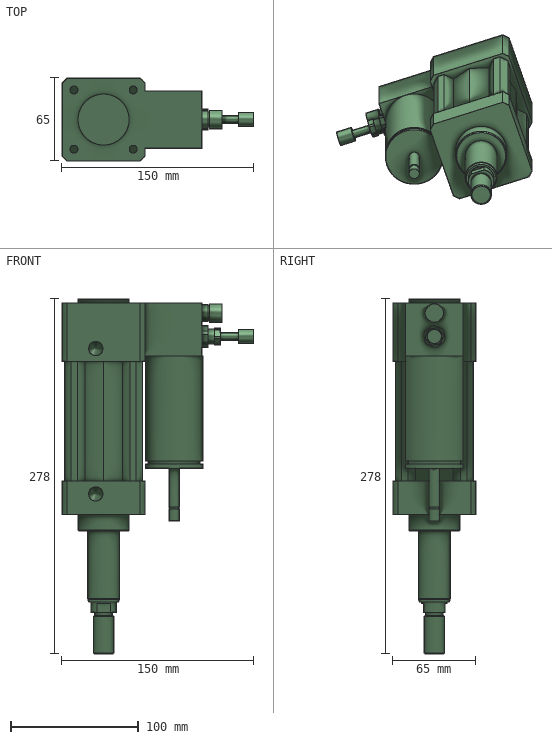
import cadquery as cq
import math

TOTAL_LENGTH = 278.0
TOTAL_WIDTH = 150.0

BLOCK_SIDE = 65.0
BLOCK_CHAMFER = 4.0
HEAD_HEIGHT = 46.0
FOOT_HEIGHT = 26.0
SCREW_PITCH = 46.5
SCREW_DIAMETER = 6.0
SCREW_DEPTH = 14.0
PORT_DIAMETER = 11.0
PORT_OFFSET = -6.0
PORT_DEPTH = 11.0
DRILL_POINT_ANGLE = 118.0
HEAD_PORT_DROP = 36.0
FOOT_PORT_DROP = 10.0

TUBE_LENGTH = 94.0
TUBE_HALF_WIDTH = 30.5
POST_OUTER = 25.5
POST_INNER = 20.5
VALLEY_OFFSET = 14.7
RIDGE_RADIUS = 29.0

BOSS_DIAMETER = 40.0
CAP_HEIGHT = 2.8
BOSS_HEIGHT = 13.0
BOSS_CHAMFER = 0.8

BOX_END = 77.0
BOX_HEIGHT = 41.7

MOTOR_DIAMETER = 45.0
MOTOR_X = 55.3
MOTOR_LENGTH = 82.3
MOTOR_GROOVE_DIAMETER = 41.0
MOTOR_GROOVE_WIDTH = 2.5
MOTOR_FLANGE_HEIGHT = 3.3
SHAFT_DIAMETER = 8.0
SHAFT_LENGTH = 30.3
SHAFT_TAPER_DIAMETER = 6.0
SHAFT_TAPER_LENGTH = 1.7
SHAFT_TIP_LENGTH = 9.2

KNOB_DROP = 8.0
KNOB_STEM_DIAMETER = 13.0
KNOB_STEM_LENGTH = 5.0
KNOB_NECK_DIAMETER = 12.0
KNOB_NECK_LENGTH = 0.8
KNOB_DIAMETER = 14.5
KNOB_LENGTH = 10.0

PLUNGER_DROP = 26.5
BIG_HEX_DIAMETER = 17.0
BIG_HEX_FLATS = 15.8
BIG_HEX_LENGTH = 5.0
BIG_HEX_TURN = 21.0
FITTING_STEM_DIAMETER = 12.0
FITTING_STEM_LENGTH = 5.0
SMALL_HEX_DIAMETER = 14.0
SMALL_HEX_FLATS = 12.8
SMALL_HEX_LENGTH = 4.5
SMALL_HEX_TURN = -7.0
PLUNGER_DIAMETER = 6.0
PLUNGER_LENGTH = 14.2
PLUNGER_KNOB_DIAMETER = 11.0

ROD_DIAMETER = 25.0
ROD_LENGTH = 55.5
ROD_TIP_DIAMETER = 24.7
ROD_TIP_LENGTH = 2.8
ROD_CHAMFER_HEIGHT = 2.0
ROD_CHAMFER_WIDTH = 0.8
COLLAR_DIAMETER = 20.0
COLLAR_FLATS = 17.0
COLLAR_LENGTH = 8.0
COLLAR_RIM = 1.0
NECK_DIAMETER = 14.0
NECK_LENGTH = 2.5
STUD_DIAMETER = 16.0
STUD_CHAMFER = 0.8

BLOCK_HALF = BLOCK_SIDE / 2
TUBE_TOP = -HEAD_HEIGHT
FOOT_TOP = TUBE_TOP - TUBE_LENGTH
FOOT_BOTTOM = FOOT_TOP - FOOT_HEIGHT
ROD_TOP = FOOT_BOTTOM - BOSS_HEIGHT
COLLAR_TOP = ROD_TOP - ROD_LENGTH
NECK_TOP = COLLAR_TOP - COLLAR_LENGTH
STUD_TOP = NECK_TOP - NECK_LENGTH
STUD_LENGTH = STUD_TOP - (CAP_HEIGHT - TOTAL_LENGTH)
GROOVE_TOP = -BOX_HEIGHT - MOTOR_LENGTH
FLANGE_TOP = GROOVE_TOP - MOTOR_GROOVE_WIDTH
SHAFT_TOP = FLANGE_TOP - MOTOR_FLANGE_HEIGHT
PLUNGER_KNOB_END = TOTAL_WIDTH - BLOCK_HALF


def disc_down(diameter, top, length, x=0.0):
    """Vertical cylinder hanging down from the given height."""
    return cq.Workplane("XY", origin=(x, 0, top)).circle(diameter / 2).extrude(-length)


def disc_along_x(diameter, start, length, z):
    """Cylinder running in +X from the given start."""
    return cq.Workplane("YZ", origin=(start, 0, z)).circle(diameter / 2).extrude(length)


def block(top, height):
    """Square block with chamfered upright corners."""
    body = cq.Workplane("XY", origin=(0, 0, top)).rect(BLOCK_SIDE, BLOCK_SIDE).extrude(-height)
    return body.edges("|Z").chamfer(BLOCK_CHAMFER)


def tube():
    """Four corner posts with a ridged V groove pair on every side."""
    side = [
        (-POST_OUTER, -TUBE_HALF_WIDTH),
        (-POST_INNER, -TUBE_HALF_WIDTH),
        (-VALLEY_OFFSET, -TUBE_HALF_WIDTH + POST_INNER - VALLEY_OFFSET),
        (0, -RIDGE_RADIUS),
        (VALLEY_OFFSET, -TUBE_HALF_WIDTH + POST_INNER - VALLEY_OFFSET),
        (POST_INNER, -TUBE_HALF_WIDTH),
        (POST_OUTER, -TUBE_HALF_WIDTH),
    ]
    outline = []
    for _ in range(4):
        outline += side
        side = [(-y, x) for x, y in side]
    return cq.Workplane("XY", origin=(0, 0, TUBE_TOP)).polyline(outline).close().extrude(-TUBE_LENGTH)


def side_box():
    """Box joining the head to the motor and the fittings."""
    return cq.Workplane("XY").box(
        BOX_END, MOTOR_DIAMETER, BOX_HEIGHT, centered=(False, True, False)
    ).translate((0, 0, -BOX_HEIGHT))


def port(z):
    """Drilled air port in the -Y face, with a conical bottom."""
    radius = PORT_DIAMETER / 2
    tip = PORT_DEPTH + radius / math.tan(math.radians(DRILL_POINT_ANGLE / 2))
    half_section = [(0, 0), (radius, 0), (radius, PORT_DEPTH), (0, tip)]
    drill = cq.Workplane("XY").polyline(half_section).close().revolve(360, (0, 0), (0, 1))
    return drill.translate((PORT_OFFSET, -BLOCK_HALF, z))


def screw_holes():
    """Four blind holes in the head top."""
    return (
        cq.Workplane("XY")
        .rect(SCREW_PITCH, SCREW_PITCH, forConstruction=True)
        .vertices()
        .circle(SCREW_DIAMETER / 2)
        .extrude(-SCREW_DEPTH)
    )


def hex_nut(diameter, flats, start, length, turn):
    """Hexagon along X with its corners rounded off by a cylinder."""
    corner_diameter = flats / math.cos(math.radians(30))
    prism = cq.Workplane("YZ").polygon(6, corner_diameter).extrude(length)
    prism = prism.rotate((0, 0, 0), (1, 0, 0), -turn).translate((start, 0, -PLUNGER_DROP))
    return prism.intersect(disc_along_x(diameter, start, length, -PLUNGER_DROP))


def knob():
    """Upper knob on its stem."""
    neck_start = BOX_END + KNOB_STEM_LENGTH
    knob_start = neck_start + KNOB_NECK_LENGTH
    body = disc_along_x(KNOB_STEM_DIAMETER, BOX_END, KNOB_STEM_LENGTH, -KNOB_DROP)
    body = body.union(disc_along_x(KNOB_NECK_DIAMETER, neck_start, KNOB_NECK_LENGTH, -KNOB_DROP))
    return body.union(disc_along_x(KNOB_DIAMETER, knob_start, KNOB_LENGTH, -KNOB_DROP))


def plunger():
    """Hexagon fitting with a thin plunger and its end knob."""
    stem_start = BOX_END + BIG_HEX_LENGTH
    nut_start = stem_start + FITTING_STEM_LENGTH
    plunger_start = nut_start + SMALL_HEX_LENGTH
    knob_start = plunger_start + PLUNGER_LENGTH
    knob_length = PLUNGER_KNOB_END - knob_start
    body = hex_nut(BIG_HEX_DIAMETER, BIG_HEX_FLATS, BOX_END, BIG_HEX_LENGTH, BIG_HEX_TURN)
    body = body.union(disc_along_x(FITTING_STEM_DIAMETER, stem_start, FITTING_STEM_LENGTH, -PLUNGER_DROP))
    body = body.union(
        hex_nut(SMALL_HEX_DIAMETER, SMALL_HEX_FLATS, nut_start, SMALL_HEX_LENGTH, SMALL_HEX_TURN)
    )
    body = body.union(disc_along_x(PLUNGER_DIAMETER, plunger_start, PLUNGER_LENGTH, -PLUNGER_DROP))
    return body.union(disc_along_x(PLUNGER_KNOB_DIAMETER, knob_start, knob_length, -PLUNGER_DROP))


def make_housing():
    """Head, tube, foot, side box and fittings as one solid."""
    boss = disc_down(BOSS_DIAMETER, FOOT_BOTTOM, BOSS_HEIGHT).faces("<Z").chamfer(BOSS_CHAMFER)
    body = block(0, HEAD_HEIGHT).union(side_box())
    body = body.union(disc_down(BOSS_DIAMETER, CAP_HEIGHT, CAP_HEIGHT))
    body = body.union(tube())
    body = body.union(block(FOOT_TOP, FOOT_HEIGHT))
    body = body.union(boss)
    body = body.union(knob())
    body = body.union(plunger())
    body = body.cut(screw_holes())
    body = body.cut(port(-HEAD_PORT_DROP))
    return body.cut(port(FOOT_TOP - FOOT_PORT_DROP))


def shaft():
    """Motor shaft that tapers down onto a full-width tip."""
    taper_top = SHAFT_TOP - SHAFT_LENGTH
    tip_top = taper_top - SHAFT_TAPER_LENGTH
    tip_bottom = tip_top - SHAFT_TIP_LENGTH
    radius = SHAFT_DIAMETER / 2
    half_section = [
        (0, SHAFT_TOP),
        (radius, SHAFT_TOP),
        (radius, taper_top),
        (SHAFT_TAPER_DIAMETER / 2, tip_top),
        (radius, tip_top),
        (radius, tip_bottom),
        (0, tip_bottom),
    ]
    body = cq.Workplane("XZ").polyline(half_section).close().revolve(360, (0, 0), (0, 1))
    return body.translate((MOTOR_X, 0, 0))


def make_motor():
    """Round motor with a grooved end flange and its shaft."""
    body = disc_down(MOTOR_DIAMETER, -BOX_HEIGHT, MOTOR_LENGTH, MOTOR_X)
    body = body.union(disc_down(MOTOR_GROOVE_DIAMETER, GROOVE_TOP, MOTOR_GROOVE_WIDTH, MOTOR_X))
    body = body.union(disc_down(MOTOR_DIAMETER, FLANGE_TOP, MOTOR_FLANGE_HEIGHT, MOTOR_X))
    return body.union(shaft())


def make_rod():
    """Piston rod with a stepped end, a two-flat collar, a neck and an end stud."""
    shank_length = ROD_LENGTH - ROD_TIP_LENGTH
    tip = disc_down(ROD_TIP_DIAMETER, ROD_TOP - shank_length, ROD_TIP_LENGTH)
    tip = tip.faces("<Z").edges().chamfer(ROD_CHAMFER_HEIGHT, ROD_CHAMFER_WIDTH)
    flats_top = COLLAR_TOP - COLLAR_RIM
    flats_length = COLLAR_LENGTH - COLLAR_RIM
    flats = cq.Workplane("XY", origin=(0, 0, flats_top)).rect(COLLAR_DIAMETER, COLLAR_FLATS)
    collar = disc_down(COLLAR_DIAMETER, flats_top, flats_length).intersect(flats.extrude(-flats_length))
    stud = disc_down(STUD_DIAMETER, STUD_TOP, STUD_LENGTH).faces("<Z or >Z").chamfer(STUD_CHAMFER)
    body = disc_down(ROD_DIAMETER, ROD_TOP, shank_length)
    body = body.union(tip)
    body = body.union(disc_down(COLLAR_DIAMETER, COLLAR_TOP, COLLAR_RIM))
    body = body.union(collar)
    body = body.union(disc_down(NECK_DIAMETER, NECK_TOP, NECK_LENGTH))
    return body.union(stud)


housing = make_housing()
motor = make_motor()
rod = make_rod()

result = cq.Compound.makeCompound([*housing.solids().vals(), *motor.solids().vals(), *rod.solids().vals()])